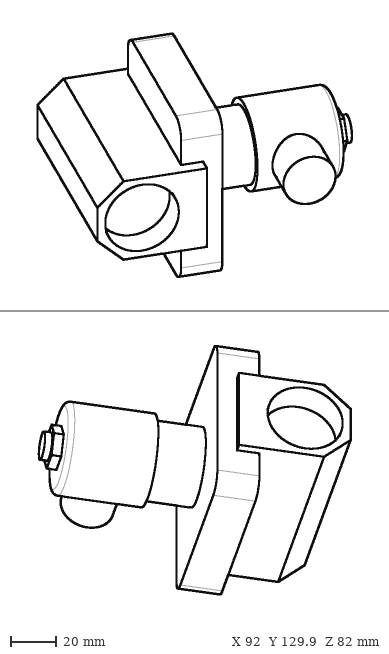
import cadquery as cq
import math

block_length = 92.0
block_left = -45.0
block_height = 40.5
block_depth = 50.7
nose_height = 17.4
nose_depth = 12.1

bore_radius = 17.0
bore_depth = 14.0
bore_center_y = 20.7

flange_side = 82.0
flange_front_y = 40.5
flange_back_y = 59.6
flange_corner_radius = 8.0

neck_radius = 18.0
neck_end_y = 81.8

coil_radius = 21.0
coil_end_y = 122.2
coil_fillet = 2.5

outlet_radius = 12.1
outlet_reach = 37.8
outlet_center_y = 100.8

nut_across_flats = 17.1
nut_end_y = 126.6
stud_radius = 6.4
stud_end_y = 129.9


def plane_at(y):
    """Plane normal to the actuator axis, facing +Y."""
    return cq.Workplane(cq.Plane(origin=(0, y, 0), xDir=(1, 0, 0), normal=(0, 1, 0)))


def cylinder_along_y(radius, start_y, end_y):
    return plane_at(start_y).circle(radius).extrude(end_y - start_y)


def cylinder_along_x(radius, center_y, start_x, end_x):
    return (
        cq.Workplane("YZ", origin=(start_x, center_y, 0))
        .circle(radius)
        .extrude(end_x - start_x)
    )


def make_block():
    """Bar along X with its two front edges beveled."""
    half_height = block_height / 2
    half_nose = nose_height / 2
    outline = [
        (0, -half_nose),
        (nose_depth, -half_height),
        (block_depth, -half_height),
        (block_depth, half_height),
        (nose_depth, half_height),
        (0, half_nose),
    ]
    return cq.Workplane("YZ", origin=(block_left, 0, 0)).polyline(outline).close().extrude(block_length)


def make_flange():
    return (
        plane_at(flange_front_y)
        .rect(flange_side, flange_side)
        .extrude(flange_back_y - flange_front_y)
        .edges("|Y")
        .fillet(flange_corner_radius)
    )


def make_valve_body():
    body = make_block().union(make_flange())
    body = body.union(cylinder_along_y(neck_radius, flange_back_y, neck_end_y))
    block_right = block_left + block_length
    for start_x, end_x in [
        (block_left, block_left + bore_depth),
        (block_right - bore_depth, block_right),
    ]:
        body = body.cut(cylinder_along_x(bore_radius, bore_center_y, start_x, end_x))
    return body


def make_nut():
    """Hexagonal nut with two of its corners on the X axis."""
    across_corners = nut_across_flats / math.cos(math.radians(30))
    return plane_at(coil_end_y).polygon(6, across_corners).extrude(nut_end_y - coil_end_y)


def make_solenoid():
    coil = cylinder_along_y(coil_radius, neck_end_y, coil_end_y).faces(">Y").edges().fillet(coil_fillet)
    outlet = cylinder_along_x(outlet_radius, outlet_center_y, 0, outlet_reach)
    stud = cylinder_along_y(stud_radius, nut_end_y, stud_end_y)
    return coil.union(outlet).union(make_nut()).union(stud)


valve_body = make_valve_body()
solenoid = make_solenoid()

result = cq.Compound.makeCompound([valve_body.val(), solenoid.val()])